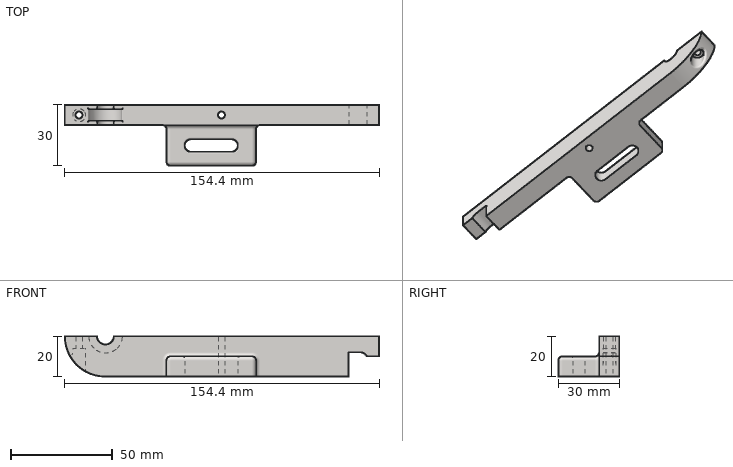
import cadquery as cq
import math

selection_margin = 0.1

bar_length = 154.44
bar_width = 10.0
bar_height = 20.0
bar_mid_y = bar_width / 2
nose_radius = bar_height

rod_x = 20.0
rod_radius = 4.1
disc_radius = 8.2
disc_width = 5.8
disc_edge_fillet = 0.5

hook_length = 15.0
hook_root_z = 12.0
hook_lip_z = 10.0
hook_lip_length = 6.0
hook_arc_radius = 4.0

screw_xs = (7.0, 77.0)
screw_diameter = 3.3
head_diameter = 6.3
head_recess_top_z = 14.0
head_edge_fillet = 1.0

flange_x = 72.0
flange_length = 44.0
flange_depth = 20.0
flange_height = 10.0
flange_fillet = 2.0
slot_width = 6.0
slot_travel = 20.0
slot_fillet = 1.0


def make_bar():
    """Bar extruded from its side profile, with its rounded nose and hooked end."""
    step_x = bar_length - hook_length
    lip_x = bar_length - hook_lip_length
    arc_drop = hook_root_z - hook_lip_z
    arc_run = math.sqrt(hook_arc_radius**2 - (hook_arc_radius - arc_drop) ** 2)
    arc_x = lip_x - arc_run
    arc_mid_angle = math.atan2(arc_drop, arc_run)
    arc_mid = (
        arc_x + hook_arc_radius * math.sin(arc_mid_angle),
        hook_root_z - hook_arc_radius * (1 - math.cos(arc_mid_angle)),
    )
    nose_mid = nose_radius * (1 - math.sqrt(0.5))
    profile = (
        cq.Workplane("XZ")
        .moveTo(0, bar_height)
        .threePointArc((nose_mid, bar_height - nose_radius + nose_mid), (nose_radius, 0))
        .lineTo(step_x, 0)
        .lineTo(step_x, hook_root_z)
        .lineTo(arc_x, hook_root_z)
        .threePointArc(arc_mid, (lip_x, hook_lip_z))
        .lineTo(bar_length, hook_lip_z)
        .lineTo(bar_length, bar_height)
        .close()
    )
    return profile.extrude(-bar_width)


def make_flange():
    """Rounded flange block that reaches back to the middle of the bar, so the two join."""
    block = cq.Workplane("XY").box(
        flange_length, flange_depth + bar_mid_y, flange_height, centered=(True, False, False)
    )
    block = block.edges("|Z and <Y").fillet(flange_fillet)
    block = block.edges(">Z and (not >Y)").fillet(flange_fillet)
    return block.translate((flange_x, -flange_depth, 0))


def fillet_flange_root(body):
    """Fillet the corner where the flange's ends and top meet the bar's front face."""
    reach = flange_length / 2 + flange_fillet
    root_box = cq.selectors.BoxSelector(
        (flange_x - reach, -selection_margin, selection_margin),
        (flange_x + reach, selection_margin, flange_height + flange_fillet),
    )
    return body.edges(root_box).fillet(flange_fillet)


def cut_slot(body):
    """Slot through the flange, rounded at its upper rim."""
    slot = (
        cq.Workplane("XY")
        .center(flange_x, -flange_depth / 2)
        .slot2D(slot_travel + slot_width, slot_width)
        .extrude(flange_height)
    )
    rim_box = cq.selectors.BoxSelector(
        (flange_x - slot_travel, -flange_depth / 2 - slot_width, flange_height - slot_fillet),
        (flange_x + slot_travel, -flange_depth / 2 + slot_width, flange_height + slot_fillet),
    )
    return body.cut(slot).edges(rim_box).fillet(slot_fillet)


def cross_cylinder(radius, width):
    """Cylinder along Y, centred on the bar's width, at the rod notch."""
    return (
        cq.Workplane("XZ", origin=(rod_x, bar_mid_y, bar_height))
        .circle(radius)
        .extrude(width / 2, both=True)
    )


def cut_rod_seat(body):
    """Rod notch across the bar and the disc pocket in its middle, with rounded rims."""
    body = body.cut(cross_cylinder(rod_radius, bar_width))
    body = body.cut(cross_cylinder(disc_radius, disc_width))
    reach_x = disc_radius + selection_margin
    reach_y = disc_width / 2 + selection_margin
    pocket_rims = cq.selectors.BoxSelector(
        (rod_x - reach_x, bar_mid_y - reach_y, bar_height - rod_radius - selection_margin),
        (rod_x + reach_x, bar_mid_y + reach_y, bar_height + selection_margin),
    )
    return body.edges(pocket_rims).fillet(disc_edge_fillet)


def vertical_cylinder(x, diameter, height):
    """Upright cylinder on the bar's centre plane, standing on Z = 0."""
    return cq.Workplane("XY").center(x, bar_mid_y).circle(diameter / 2).extrude(height)


def drill_screw_holes(body):
    """Plain screw holes from the top of the bar to its underside."""
    for screw_x in screw_xs:
        body = body.cut(vertical_cylinder(screw_x, screw_diameter, bar_height))
    return body


def cut_head_recess(body):
    """Head recess that opens through the curved nose, with a rounded mouth."""
    recess_x = screw_xs[0]
    recess = vertical_cylinder(recess_x, head_diameter, head_recess_top_z)
    reach = head_diameter / 2 + selection_margin
    mouth = cq.selectors.BoxSelector(
        (recess_x - reach, bar_mid_y - reach, 0),
        (recess_x + reach, bar_mid_y + reach, head_recess_top_z - selection_margin),
    )
    return body.cut(recess).edges(mouth).fillet(head_edge_fillet)


part = make_bar().union(make_flange())
part = fillet_flange_root(part)
part = cut_slot(part)
part = cut_rod_seat(part)
part = drill_screw_holes(part)
result = cut_head_recess(part)